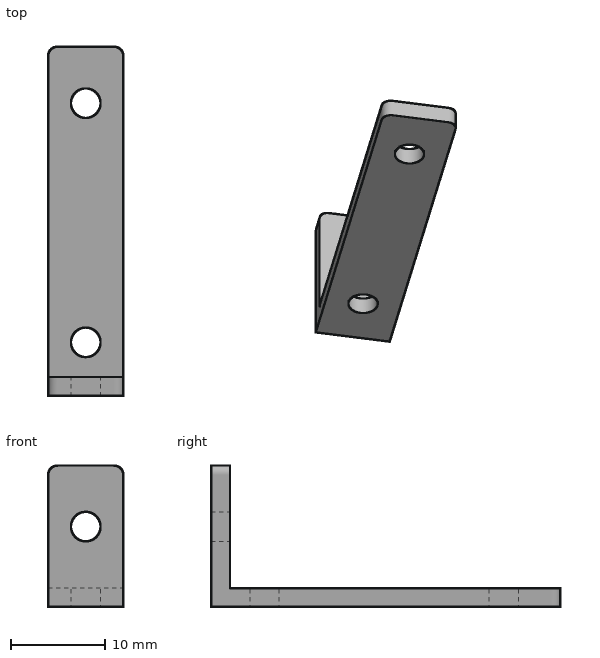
import cadquery as cq

width = 8.0
length = 37.0
height = 15.0
thickness = 2.0
corner_radius = 1.0

hole_diameter = 3.1
far_hole_inset = 6.0
base_hole_pitch = 25.35
upright_hole_height = 8.5

far_hole_y = length - far_hole_inset
near_hole_y = far_hole_y - base_hole_pitch


def make_base():
    """Flat leg along Y, with rounded corners at its free end and two holes."""
    leg = cq.Workplane("XY").box(width, length, thickness, centered=(True, False, False))
    leg = leg.edges("|Z and >Y").fillet(corner_radius)
    holes = (
        cq.Workplane("XY")
        .pushPoints([(0, near_hole_y), (0, far_hole_y)])
        .circle(hole_diameter / 2)
        .extrude(thickness)
    )
    return leg.cut(holes)


def make_upright():
    """Vertical leg at the Y = 0 end, with rounded top corners and one hole."""
    leg = cq.Workplane("XY").box(width, thickness, height, centered=(True, False, False))
    leg = leg.edges("|Y and >Z").fillet(corner_radius)
    hole = (
        cq.Workplane("XZ")
        .center(0, upright_hole_height)
        .circle(hole_diameter / 2)
        .extrude(-thickness)
    )
    return leg.cut(hole)


result = make_base().union(make_upright())